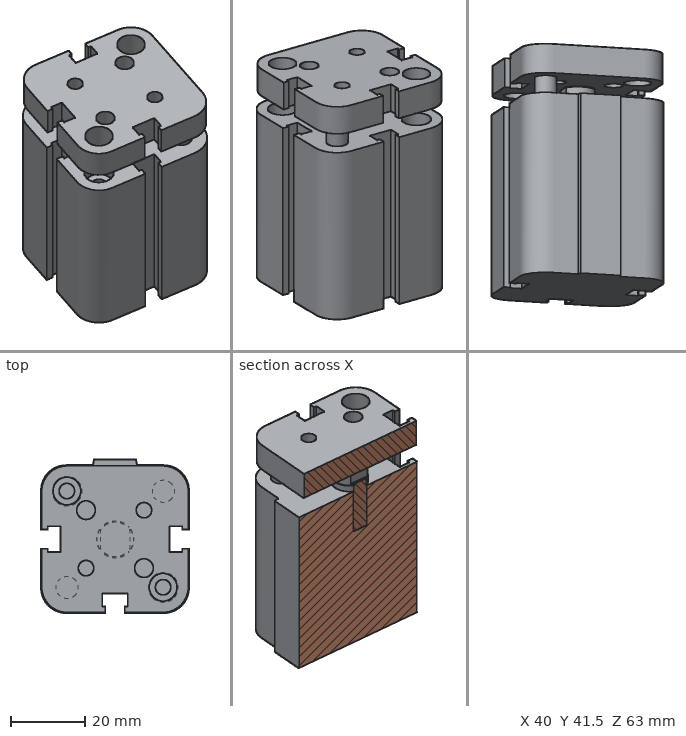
import cadquery as cq

TOTAL_HEIGHT = 63.0
PLATE_THICKNESS = 8.0
PLATE_GAP = 5.5
PLATE_BOTTOM = TOTAL_HEIGHT - PLATE_THICKNESS
HOUSING_HEIGHT = PLATE_BOTTOM - PLATE_GAP

HOUSING_WIDTH = 40.0
HOUSING_CORNER_RADIUS = 7.0
PLATE_INSET = 0.25
PLATE_WIDTH = HOUSING_WIDTH - 2 * PLATE_INSET
PLATE_CORNER_RADIUS = HOUSING_CORNER_RADIUS - PLATE_INSET

SLOT_MOUTH_WIDTH = 5.15
SLOT_INNER_WIDTH = 6.85
SLOT_LIP_DEPTH = 1.9
SLOT_DEPTH = 5.3
SLOT_ANGLES = (-90, 0, 180)

RAIL_HEIGHT = 1.5
RAIL_BASE_WIDTH = 12
RAIL_TOP_WIDTH = 11.35

DIAGONAL_OFFSET = 13.0
GUIDE_ROD_DIAMETER = 6.0
ACCESS_HOLE_DIAMETER = 7.5
COUNTERBORE_DIAMETER = 8.0
COUNTERBORE_DEPTH = 4.6
SCREW_HOLE_DIAMETER = 4.15
SCREW_HOLE_DEPTH = 13.0

MOUNTING_OFFSET = 7.8
DOWEL_HOLE_DIAMETER = 5.05
TAPPED_HOLE_DIAMETER = 4.15

ROD_DIAMETER = 10.0
NECK_DIAMETER = 9.8
NECK_LENGTH = 3.5
ROD_CHAMFER = (ROD_DIAMETER - NECK_DIAMETER) / 2
NECK_CHAMFER = 0.25
FLATS_DISTANCE = 8.0
FLATS_LENGTH = 3.0

ROD_INSERTION = 13.0


def cylinder(diameter, bottom, top, points=((0, 0),)):
    """Upright cylinders at the given X, Y points, from one height to another."""
    return (
        cq.Workplane("XY")
        .workplane(offset=bottom)
        .pushPoints(points)
        .circle(diameter / 2)
        .extrude(top - bottom)
    )


def falling_diagonal(offset):
    """The (-X, +Y) and (+X, -Y) corner positions."""
    return [(-offset, offset), (offset, -offset)]


def rising_diagonal(offset):
    """The (-X, -Y) and (+X, +Y) corner positions."""
    return [(-offset, -offset), (offset, offset)]


def t_slots():
    """Full-height cutters for the T-slots on the -Y, +X and -X faces."""
    face = HOUSING_WIDTH / 2
    lip = face - SLOT_LIP_DEPTH
    floor = face - SLOT_DEPTH
    mouth = SLOT_MOUTH_WIDTH / 2
    inner = SLOT_INNER_WIDTH / 2
    slot = (
        cq.Workplane("XY")
        .polyline([
            (face, -mouth), (lip, -mouth), (lip, -inner), (floor, -inner),
            (floor, inner), (lip, inner), (lip, mouth), (face, mouth),
        ])
        .close()
        .extrude(TOTAL_HEIGHT)
    )
    cutters = cq.Workplane("XY")
    for angle in SLOT_ANGLES:
        cutters = cutters.add(slot.rotate((0, 0, 0), (0, 0, 1), angle))
    return cutters.combine()


def slotted_block(width, corner_radius, bottom, top):
    """Square block with rounded vertical edges and three T-slots."""
    return (
        cq.Workplane("XY")
        .workplane(offset=bottom)
        .rect(width, width)
        .extrude(top - bottom)
        .edges("|Z")
        .fillet(corner_radius)
        .cut(t_slots())
    )


def rail():
    """Tapered rail along the full height of the +Y face."""
    face = HOUSING_WIDTH / 2
    return (
        cq.Workplane("XY")
        .polyline([
            (-RAIL_BASE_WIDTH / 2, face), (RAIL_BASE_WIDTH / 2, face),
            (RAIL_TOP_WIDTH / 2, face + RAIL_HEIGHT), (-RAIL_TOP_WIDTH / 2, face + RAIL_HEIGHT),
        ])
        .close()
        .extrude(HOUSING_HEIGHT)
    )


def guide_rods():
    """Two guide rods, from inside the housing up to the plate."""
    return cylinder(
        GUIDE_ROD_DIAMETER, HOUSING_HEIGHT - ROD_INSERTION, PLATE_BOTTOM, rising_diagonal(DIAGONAL_OFFSET)
    )


def piston_rod():
    """Round rod, chamfered up to a narrower neck with two flats facing -X and +X."""
    neck_bottom = PLATE_BOTTOM - NECK_LENGTH
    rod = (
        cylinder(ROD_DIAMETER, HOUSING_HEIGHT - ROD_INSERTION, neck_bottom)
        .faces(">Z")
        .edges()
        .chamfer(ROD_CHAMFER)
    )
    neck = (
        cylinder(NECK_DIAMETER, neck_bottom, PLATE_BOTTOM)
        .faces(">Z")
        .edges()
        .chamfer(NECK_CHAMFER)
    )
    flats = (
        cq.Workplane("XY")
        .workplane(offset=PLATE_BOTTOM - FLATS_LENGTH)
        .rect(2 * ROD_DIAMETER, 2 * ROD_DIAMETER)
        .rect(FLATS_DISTANCE, 2 * ROD_DIAMETER)
        .extrude(FLATS_LENGTH)
    )
    return rod.union(neck).cut(flats)


def make_housing():
    """Slotted housing with its rail, blind counterbored screw holes and rod bores."""
    screw_points = falling_diagonal(DIAGONAL_OFFSET)
    screw_hole_end = HOUSING_HEIGHT - SCREW_HOLE_DEPTH
    counterbore_floor = HOUSING_HEIGHT - COUNTERBORE_DEPTH
    return (
        slotted_block(HOUSING_WIDTH, HOUSING_CORNER_RADIUS, 0, HOUSING_HEIGHT)
        .union(rail())
        .cut(cylinder(COUNTERBORE_DIAMETER, counterbore_floor, HOUSING_HEIGHT, screw_points))
        .cut(cylinder(SCREW_HOLE_DIAMETER, screw_hole_end, counterbore_floor, screw_points))
        .cut(guide_rods())
        .cut(piston_rod())
    )


def make_plunger():
    """Front plate carried by the piston rod and the two guide rods."""
    plate = slotted_block(PLATE_WIDTH, PLATE_CORNER_RADIUS, PLATE_BOTTOM, TOTAL_HEIGHT)
    hole_groups = (
        (ACCESS_HOLE_DIAMETER, falling_diagonal(DIAGONAL_OFFSET)),
        (DOWEL_HOLE_DIAMETER, falling_diagonal(MOUNTING_OFFSET)),
        (TAPPED_HOLE_DIAMETER, rising_diagonal(MOUNTING_OFFSET)),
    )
    for diameter, points in hole_groups:
        plate = plate.cut(cylinder(diameter, PLATE_BOTTOM, TOTAL_HEIGHT, points))
    return plate.union(piston_rod()).union(guide_rods())


housing = make_housing()
plunger = make_plunger()

result = cq.Compound.makeCompound([housing.val(), plunger.val()])